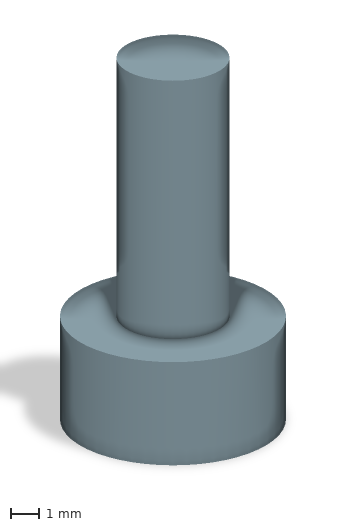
import cadquery as cq

total_height = 14.0
head_diameter = 8.0

head_height = head_diameter / 2
shank_diameter = head_diameter / 2
shank_length = total_height - head_height

head = cq.Workplane("XY").circle(head_diameter / 2).extrude(head_height)

result = head.faces(">Z").workplane().circle(shank_diameter / 2).extrude(shank_length)